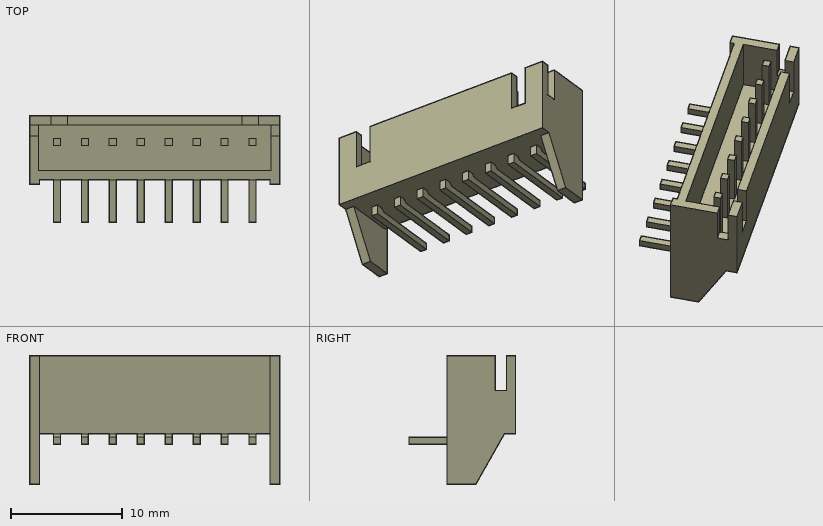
import cadquery as cq

LENGTH = 22.4
BODY_HEIGHT = 7.0
TOTAL_HEIGHT = 11.5
WALL = 0.82
BODY_DEPTH = 5.75
FLANGE_STEP = 0.4
PLATE_THICKNESS = 0.9
CAVITY_DEPTH = 5.0

FOOT_LEDGE = 1.0
FOOT_WIDTH = 2.6

SLOT_WIDTH = 1.0
SLOT_DEPTH = 3.1
NOTCH_INSET = 1.9
NOTCH_WIDTH = 1.5
NOTCH_DEPTH = 3.7

PIN_COUNT = 8
PIN_PITCH = 2.5
PIN_SIZE = 0.64
PIN_FROM_BACK = 2.37
PIN_REACH = 3.4
PIN_TOP_DROP = 0.2
TAIL_DROP = 0.28
BEND_INNER_RADIUS = 0.45

HALF_LENGTH = LENGTH / 2
FRONT = FLANGE_STEP
BACK = FRONT + BODY_DEPTH
TOP = TOTAL_HEIGHT
UNDERSIDE = TOP - BODY_HEIGHT


def block(x_range, y_range, z_range):
    """Axis-aligned block between the given limits."""
    (x0, x1), (y0, y1), (z0, z1) = x_range, y_range, z_range
    return cq.Workplane("XY").box(x1 - x0, y1 - y0, z1 - z0, centered=False).translate((x0, y0, z0))


def end_plate(x_start):
    """Full-height end plate with a sloped rear edge below the housing."""
    return (
        cq.Workplane("YZ", origin=(x_start, 0, 0))
        .moveTo(0, 0)
        .lineTo(FOOT_WIDTH, 0)
        .lineTo(BACK - FOOT_LEDGE, UNDERSIDE)
        .lineTo(BACK, UNDERSIDE)
        .lineTo(BACK, TOP)
        .lineTo(0, TOP)
        .close()
        .extrude(PLATE_THICKNESS)
    )


def shell():
    """Open-topped housing with its two end plates."""
    body = block((-HALF_LENGTH, HALF_LENGTH), (FRONT, BACK), (UNDERSIDE, TOP))
    body = body.union(end_plate(-HALF_LENGTH))
    body = body.union(end_plate(HALF_LENGTH - PLATE_THICKNESS))
    cavity_half = HALF_LENGTH - WALL
    cavity = block((-cavity_half, cavity_half), (FRONT + WALL, BACK - WALL), (TOP - CAVITY_DEPTH, TOP))
    return body.cut(cavity)


def end_slots():
    """Slot through both end walls, next to the back wall."""
    slot_back = BACK - WALL
    return block(
        (-HALF_LENGTH, HALF_LENGTH),
        (slot_back - SLOT_WIDTH, slot_back),
        (TOP - SLOT_DEPTH, TOP),
    )


def back_notch(x_start):
    """Notch through the back wall, open at the rim."""
    return block((x_start, x_start + NOTCH_WIDTH), (BACK - WALL, BACK), (TOP - NOTCH_DEPTH, TOP))


def pin(x_center):
    """Square right-angle pin: upright contact, bend, and forward tail."""
    upright_back = BACK - PIN_FROM_BACK + PIN_SIZE / 2
    upright_front = upright_back - PIN_SIZE
    tail_top = UNDERSIDE - TAIL_DROP
    tail_bottom = tail_top - PIN_SIZE
    tip = TOP - PIN_TOP_DROP
    return (
        cq.Workplane("YZ", origin=(x_center - PIN_SIZE / 2, 0, 0))
        .moveTo(-PIN_REACH, tail_bottom)
        .lineTo(upright_back, tail_bottom)
        .lineTo(upright_back, tip)
        .lineTo(upright_front, tip)
        .lineTo(upright_front, tail_top + BEND_INNER_RADIUS)
        .radiusArc((upright_front - BEND_INNER_RADIUS, tail_top), BEND_INNER_RADIUS)
        .lineTo(-PIN_REACH, tail_top)
        .close()
        .extrude(PIN_SIZE)
    )


result = shell().cut(end_slots())

for notch_start in (-HALF_LENGTH + NOTCH_INSET, HALF_LENGTH - NOTCH_INSET - NOTCH_WIDTH):
    result = result.cut(back_notch(notch_start))

first_pin = -PIN_PITCH * (PIN_COUNT - 1) / 2
for index in range(PIN_COUNT):
    result = result.union(pin(first_pin + index * PIN_PITCH))